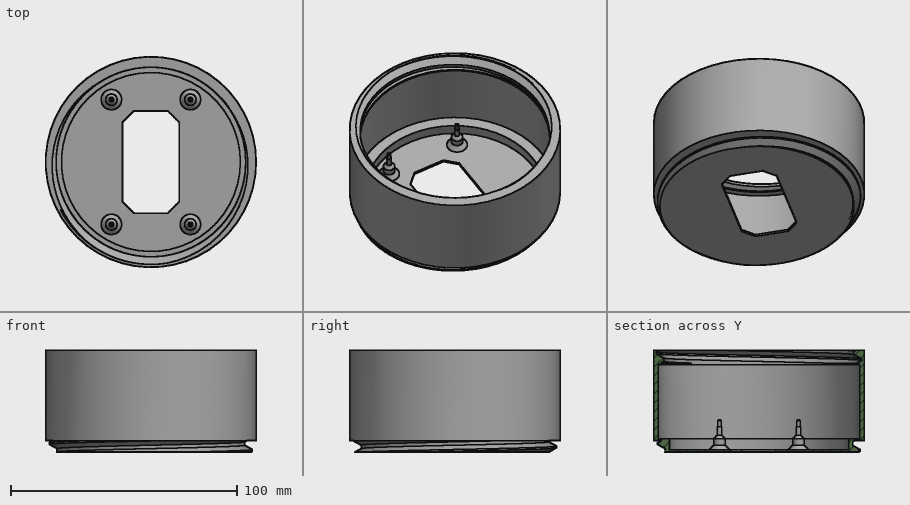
import cadquery as cq

outer_diameter = 93.0
total_height = 45.0
neck_height = 5.0
bore_diameter = 89.0
ledge_height = 5.95
recess_diameter = 79.0
floor_thickness = 1.0

thread_pitch = 6.0
thread_crest_width = thread_pitch / 8
thread_base_width = thread_pitch * 3 / 4
thread_overlap = 0.3
thread_start_height = 0.7
lead_in_turns = 2
thread_turns = 4
male_root_radius = 41.5
male_crest_radius = 44.8
thread_clearance = 0.4
mouth_depth = 6.4
female_groove_depth = 5.8
female_minor_radius = male_root_radius + thread_clearance
female_major_radius = male_crest_radius + thread_clearance

window_width = 25.0
window_length = 45.0
window_corner = 5.0

pin_spacing_x = 34.9
pin_spacing_y = 55.1
pin_foot_diameter = 9.0
pin_collar_diameter = 5.0
pin_shaft_diameter = 2.0
pin_tip_diameter = 1.5
pin_foot_height = 2.0
pin_collar_height = 4.8
pin_shoulder_height = 6.4
pin_shaft_height = 10.0
pin_height = 13.2
pin_tip_bevel = 0.5


def cylinder(diameter, bottom, top):
    return cq.Workplane("XY").workplane(offset=bottom).circle(diameter / 2).extrude(top - bottom)


def helical_thread(root_radius, crest_radius, bottom):
    """Right-handed trapezoidal thread around Z, trimmed from bottom to the neck height."""
    flank_slope = (thread_base_width - thread_crest_width) / 2 / (crest_radius - root_radius)
    inner_radius = root_radius - thread_overlap
    inner_half = thread_base_width / 2 + thread_overlap * flank_slope
    crest_half = thread_crest_width / 2
    start = thread_start_height - lead_in_turns * thread_pitch
    path = cq.Wire.makeHelix(thread_pitch, thread_turns * thread_pitch, root_radius)
    path = path.translate(cq.Vector(0, 0, start))
    profile = cq.Workplane("XZ").polyline([
        (inner_radius, start - inner_half),
        (crest_radius, start - crest_half),
        (crest_radius, start + crest_half),
        (inner_radius, start + inner_half),
    ]).close()
    thread = profile.sweep(cq.Workplane(obj=path), isFrenet=True)
    return thread.intersect(cylinder(outer_diameter, bottom, neck_height))


def stepped_pin():
    """Pin of revolution with its foot at the origin."""
    return (
        cq.Workplane("XZ")
        .polyline([
            (0, 0),
            (pin_foot_diameter / 2, 0),
            (pin_collar_diameter / 2, pin_foot_height),
            (pin_collar_diameter / 2, pin_collar_height),
            (pin_shaft_diameter / 2, pin_shoulder_height),
            (pin_shaft_diameter / 2, pin_shaft_height),
            (pin_tip_diameter / 2, pin_shaft_height),
            (pin_tip_diameter / 2, pin_height - pin_tip_bevel),
            (pin_tip_diameter / 2 - pin_tip_bevel, pin_height),
            (0, pin_height),
        ])
        .close()
        .revolve(360, (0, 0, 0), (0, 1, 0))
    )


neck = cylinder(2 * male_root_radius, 0, neck_height)
neck = neck.union(helical_thread(male_root_radius, male_crest_radius, 0))
body = cylinder(outer_diameter, neck_height, total_height).union(neck)

mouth_bottom = total_height - mouth_depth
body = body.cut(cylinder(recess_diameter, floor_thickness, ledge_height))
body = body.cut(cylinder(bore_diameter, ledge_height, mouth_bottom))
body = body.cut(cylinder(2 * female_minor_radius, mouth_bottom, total_height))
groove_bottom = neck_height - female_groove_depth
mouth_thread = helical_thread(female_minor_radius, female_major_radius, groove_bottom)
body = body.cut(mouth_thread.translate((0, 0, total_height - neck_height)))

window = cq.Workplane("XY").rect(window_width, window_length).extrude(floor_thickness)
body = body.cut(window.edges("|Z").chamfer(window_corner))

for side_x in (-1, 1):
    for side_y in (-1, 1):
        place = (side_x * pin_spacing_x / 2, side_y * pin_spacing_y / 2, floor_thickness)
        body = body.union(stepped_pin().translate(place))

result = body